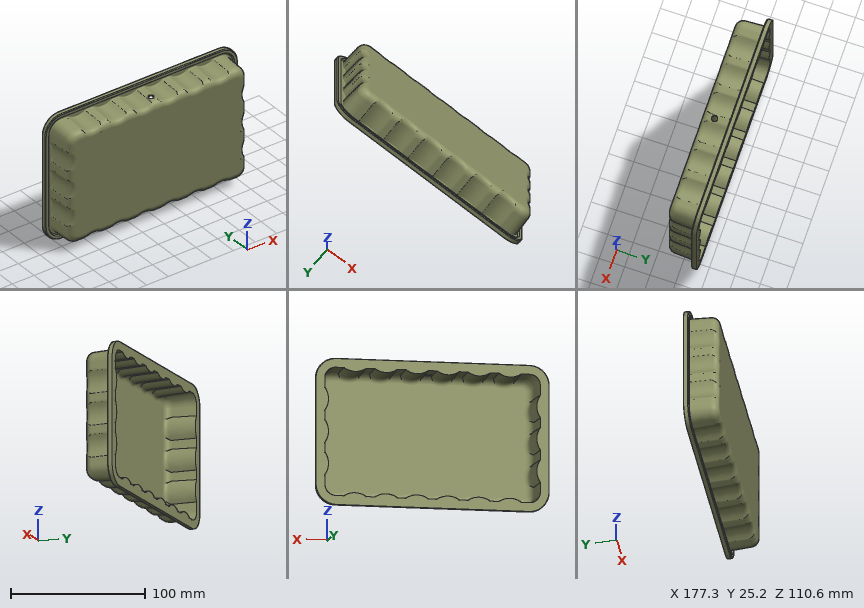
import cadquery as cq
import math

length = 177.3
height = 110.6
depth = 25.2
corner_radius = 15.0
wall = 1.0
draft_angle = 3.0

rim_depth = 3.9
rim_chamfer = 0.7
skirt_width = 3.0
groove_depth = 1.0
groove_slope_width = 0.9
groove_fillet = 0.7

body_inset = 5.7
base_round = 6.2

scallop_radius = 14.0
scallop_depth = 2.7
scallop_base_round = 4.5
scallop_blend = 4.3
long_side_count = 6
long_side_pitch = 23.5
short_side_count = 3
short_side_pitch = 24.5

hole_diameter = 4.6
hole_from_back = 15.8
hole_length = 17.7

draft = math.radians(draft_angle)
groove_floor_y = groove_depth - rim_depth
groove_floor_inset = skirt_width + groove_slope_width
scallop_axis_offset = scallop_radius - scallop_depth - body_inset
clearance = 0.2


def rounded_plate(inset, start_y, thickness, taper=0.0):
    """Rounded rectangle set in from the rim outline, extruded from start_y toward -Y."""
    return (
        cq.Workplane("XZ", origin=(0, start_y, 0))
        .sketch()
        .rect(length - 2 * inset, height - 2 * inset)
        .vertices()
        .fillet(corner_radius - inset)
        .finalize()
        .extrude(thickness, taper=taper)
    )


def scallop_cutter(offset):
    """Cone about the Y axis, wider toward the floor, whose foot flares out into the floor plane."""
    floor_y = offset - depth
    back_radius = scallop_radius + offset
    flare = scallop_base_round - offset
    flare_y = floor_y + flare
    flare_x = back_radius - flare_y * math.tan(draft) + flare / math.cos(draft)

    def flare_point(angle):
        return (flare_x + flare * math.cos(angle), flare_y + flare * math.sin(angle))

    start_angle = math.pi + draft
    end_angle = 1.5 * math.pi
    return (
        cq.Workplane("XY")
        .lineTo(back_radius, 0)
        .lineTo(*flare_point(start_angle))
        .threePointArc(flare_point((start_angle + end_angle) / 2), flare_point(end_angle))
        .lineTo(flare_x, floor_y - clearance)
        .lineTo(0, floor_y - clearance)
        .close()
        .revolve(360, (0, 0, 0), (0, 1, 0))
    )


def centred_row(count, pitch):
    return [(i - (count - 1) / 2) * pitch for i in range(count)]


def scallop_places():
    """X, Z of every scallop axis, just outside the four side walls."""
    axis_x = length / 2 + scallop_axis_offset
    axis_z = height / 2 + scallop_axis_offset
    long_row = centred_row(long_side_count, long_side_pitch)
    short_row = centred_row(short_side_count, short_side_pitch)
    long_sides = [(x, side * axis_z) for side in (-1, 1) for x in long_row]
    short_sides = [(side * axis_x, z) for side in (-1, 1) for z in short_row]
    return long_sides + short_sides


def scalloped_block(offset):
    """Drafted block with a rounded floor edge and scalloped sides, moved inward by offset."""
    block = rounded_plate(body_inset + offset, 0, depth - offset, taper=draft_angle)
    block = block.faces("<Y").edges().fillet(base_round - offset)
    cutter = scallop_cutter(offset).val()
    cutters = [cutter.moved(cq.Location(cq.Vector(x, 0, z))) for x, z in scallop_places()]
    return cq.Workplane(block.val().cut(*cutters))


def body():
    """Outer tray body, its ridges beside the scallops blended."""
    block = scalloped_block(0)
    return block.edges("%PARABOLA or %BSPLINE").fillet(scallop_blend)


def rim():
    """Flat rim, chamfered outside, with the groove's sloped outer wall cut from its -Y face."""
    plate = rounded_plate(0, 0, rim_depth).faces("<Y").edges().chamfer(rim_chamfer)
    slope_angle = math.degrees(math.atan(groove_slope_width / groove_depth))
    groove = rounded_plate(groove_floor_inset, groove_floor_y, groove_depth, taper=-slope_angle)
    return plate.cut(groove)


def fillet_groove(tray):
    """Round the inside corner where the body walls rise from the groove floor."""
    x = length / 2 - groove_floor_inset - clearance
    z = height / 2 - groove_floor_inset - clearance
    wall_foot = cq.selectors.BoxSelector(
        (-x, groove_floor_y - clearance, -z), (x, groove_floor_y + clearance, z), boundingbox=True
    )
    return tray.edges(wall_foot).fillet(groove_fillet)


def wall_hole():
    bottom_z = height / 2 - hole_length
    plane = cq.Workplane("XY", origin=(0, -hole_from_back, bottom_z))
    return plane.circle(hole_diameter / 2).extrude(hole_length)


tray = fillet_groove(rim().union(body()))
cavity = scalloped_block(wall)
result = tray.cut(cavity).cut(wall_hole())